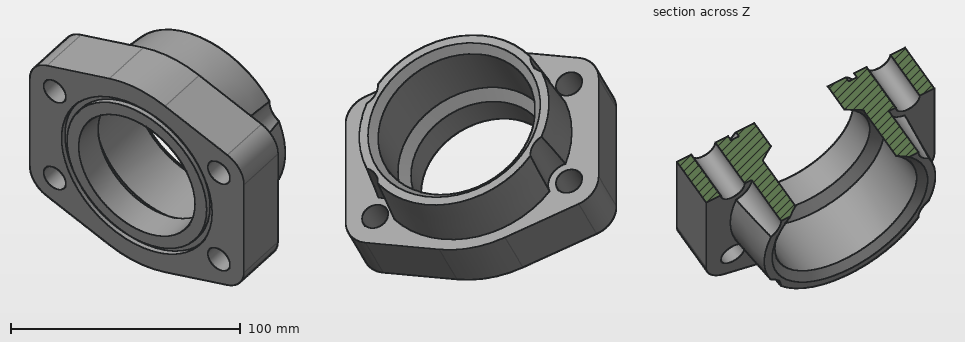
import cadquery as cq
import math

plate_width = 116.0
plate_height = 102.0
plate_thickness = 25.0
corner_radius = 13.0
crown_radius = 50.8
flank_angle = 17.3

bolt_spacing_x = 88.9
bolt_spacing_z = 50.8
bolt_hole_diameter = 12.0
bolt_head_clearance_diameter = 19.0

hub_base_diameter = 91.5
hub_end_diameter = 87.0
hub_length = 25.0

bore_diameter = 63.0
bore_depth = 14.3
rear_bore_diameter = 72.0
rear_chamfer = 3.5

groove_outer_diameter = 81.6
groove_inner_diameter = 75.6
groove_depth = 2.5

bolt_points = [
    (side * bolt_spacing_x / 2, level * bolt_spacing_z / 2)
    for side in (-1, 1)
    for level in (-1, 1)
]
total_length = plate_thickness + hub_length


def disc(diameter, start, length, points=((0, 0),)):
    """Cylinders along +Y from y = start, one at each (x, z) point."""
    plane = cq.Workplane("XZ", origin=(0, start, 0))
    return plane.pushPoints(points).circle(diameter / 2).extrude(-length)


def flange_plate():
    """Plate with a rounded crown and sloping flanks above and below, and rounded corners."""
    half_width = plate_width / 2
    crown_center_z = plate_height / 2 - crown_radius
    slope = math.radians(flank_angle)
    tangent_x = crown_radius * math.sin(slope)
    tangent_z = crown_center_z + crown_radius * math.cos(slope)
    corner_z = tangent_z - (half_width - tangent_x) * math.tan(slope)
    outline = (
        cq.Workplane("XZ")
        .moveTo(-half_width, -corner_z)
        .lineTo(-half_width, corner_z)
        .lineTo(-tangent_x, tangent_z)
        .threePointArc((0, plate_height / 2), (tangent_x, tangent_z))
        .lineTo(half_width, corner_z)
        .lineTo(half_width, -corner_z)
        .lineTo(tangent_x, -tangent_z)
        .threePointArc((0, -plate_height / 2), (-tangent_x, -tangent_z))
        .close()
    )
    return outline.extrude(-plate_thickness).edges("<X or >X").edges("|Y").fillet(corner_radius)


def hub():
    """Conical hub behind the plate, scalloped to clear the bolt heads."""
    cone = (
        cq.Workplane("XZ", origin=(0, plate_thickness, 0))
        .circle(hub_base_diameter / 2)
        .workplane(offset=-hub_length)
        .circle(hub_end_diameter / 2)
        .loft(ruled=True)
    )
    scallops = disc(bolt_head_clearance_diameter, plate_thickness, hub_length, bolt_points)
    return cone.cut(scallops)


def seal_groove():
    """Ring to cut from the front face for the seal."""
    outer = disc(groove_outer_diameter, 0, groove_depth)
    return outer.cut(disc(groove_inner_diameter, 0, groove_depth))


def stepped_bore():
    """Through passage: front bore, 45 degree cone, rear bore and 45 degree exit chamfer."""
    front_radius = bore_diameter / 2
    rear_radius = rear_bore_diameter / 2
    cone_end = bore_depth + rear_radius - front_radius
    profile = (
        cq.Workplane("XY")
        .lineTo(front_radius, 0)
        .lineTo(front_radius, bore_depth)
        .lineTo(rear_radius, cone_end)
        .lineTo(rear_radius, total_length - rear_chamfer)
        .lineTo(rear_radius + rear_chamfer, total_length)
        .lineTo(0, total_length)
        .close()
    )
    return profile.revolve(360, (0, 0, 0), (0, 1, 0))


result = (
    flange_plate()
    .union(hub())
    .cut(disc(bolt_hole_diameter, 0, plate_thickness, bolt_points))
    .cut(stepped_bore())
    .cut(seal_groove())
)